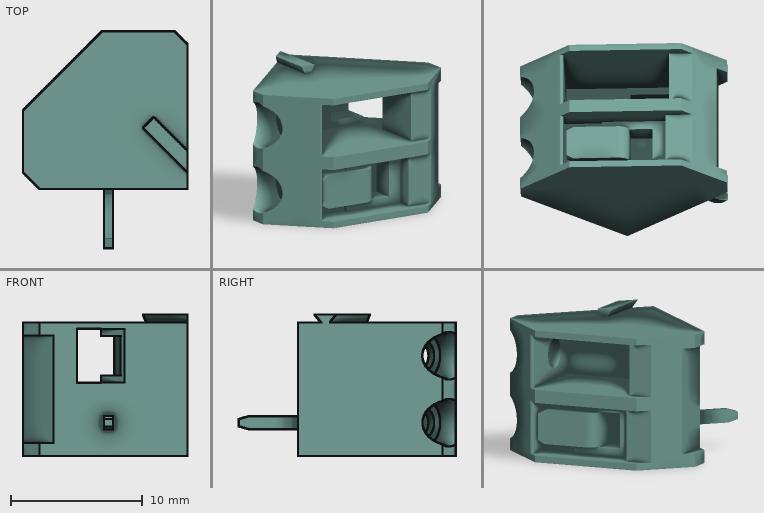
import cadquery as cq
import math

pitch = 5.08
pole_count = 2
body_x = 12.5
body_y = 12.0
body_z = pole_count * pitch
outside = 16.5

wire_chamfer = 6.0
screw_chamfer = 1.0
front_chamfer = 1.27
notch_chamfer = 2.31
notch_wall = 0.99

chamber_height = 4.08
shelf_rise = 3.4
chamber_near = 5.2
window_reach = 5.45
chamber_far = 13.22
floor_rise = -2.94
mouth_radius = 0.16

window_left = 4.12

recess_height = 2.97
recess_back = 8.38
recess_rise = -5.05

screw_hole_diameter = 2.3
screw_head_diameter = 3.6
screw_seat_thickness = 0.63

carrier_rise = 2.3
carrier_step_rise = 2.01
carrier_step_reach = 10.31
slot_near = 6.5
slot_far = 8.23
slot_depth = 1.75
slot_width = 2.77

leaf_thickness = 0.81
leaf_end_reach = 12.99
leaf_width = 2.6
leaf_tip_length = 0.53
leaf_tip_side = 0.28

pin_x = 6.5
pin_thickness = 0.7
pin_width = 1.0
pin_tip_width = 0.56
overall_y = 16.5
pin_length = overall_y - body_y
pin_tip_length = 0.78

rail_height = 0.6
rail_center_reach = 10.31
rail_top_width = 1.17
rail_base_width = 0.5
rail_end_rise = -3.15

wire_pole_z = pitch / 2
empty_pole_z = wire_pole_z + pitch


def diagonal_plane(z):
    """Horizontal plane whose local x is reach and local y is rise."""
    return cq.Workplane(cq.Plane(origin=(0, 0, z), xDir=(1, 1, 0), normal=(0, 0, 1)))


def diagonal_section(z):
    """Upright plane whose local x is reach and local y is height above z."""
    return cq.Workplane(cq.Plane(origin=(0, 0, z), xDir=(1, 1, 0), normal=(1, -1, 0)))


def diagonal_block(center_z, height, reach_range, rise_range):
    """Block aligned with the diagonal frame and centred in height on a pole."""
    start, end = reach_range
    low, high = rise_range
    base = diagonal_plane(center_z - height / 2)
    return base.moveTo(start, low).rect(end - start, high - low, centered=False).extrude(height)


def corner_prism(size, z_low, z_high):
    """Triangular prism that cuts the front-left corner at 45 degrees."""
    outline = cq.Workplane("XY").workplane(offset=z_low).polyline([(0, 0), (size, 0), (0, size)])
    return outline.close().extrude(z_high - z_low)


def housing():
    outline = [
        (front_chamfer, 0),
        (body_x, 0),
        (body_x, body_y - screw_chamfer),
        (body_x - screw_chamfer, body_y),
        (wire_chamfer, body_y),
        (0, body_y - wire_chamfer),
        (0, front_chamfer),
    ]
    block = cq.Workplane("XY").polyline(outline).close().extrude(body_z)
    return block.cut(corner_prism(notch_chamfer, notch_wall, body_z - notch_wall))


def chamber(center_z, near):
    """Wire chamber opening on the diagonal face, with a shelf at its near side."""
    main = diagonal_block(center_z, chamber_height, (near, chamber_far), (floor_rise, outside))
    shelf = diagonal_block(center_z, chamber_height, (0, chamber_far), (shelf_rise, outside))
    return main.union(shelf)


def screw_bore(center_z):
    """Stepped bore along the diagonal, from the chamber out through the screw chamfer."""
    rise = (body_y - body_x) / math.sqrt(2)
    side = 1 / math.sqrt(2)
    start = cq.Vector((chamber_far - rise) * side, (chamber_far + rise) * side, center_z)
    direction = cq.Vector(side, side, 0)
    hole = cq.Solid.makeCylinder(screw_hole_diameter / 2, outside, start, direction)
    seat = start + direction * screw_seat_thickness
    head = cq.Solid.makeCylinder(screw_head_diameter / 2, outside, seat, direction)
    return cq.Workplane(hole).union(cq.Workplane(head))


def front_window(center_z):
    """Triangular passage from the front face into the chamber, plus the recess behind it."""
    right = window_reach * math.sqrt(2)
    base = cq.Workplane("XY").workplane(offset=center_z - chamber_height / 2)
    corners = [(window_left, 0), (right, 0), (window_left, right - window_left)]
    passage = base.polyline(corners).close().extrude(chamber_height)
    recess = diagonal_block(center_z, recess_height, (window_reach, recess_back), (recess_rise, floor_rise))
    return passage.union(recess)


def round_mouths(body):
    """Round the chamber edges where the far wall meets the back face."""
    edge_x = chamber_far * math.sqrt(2) - body_y
    margin = mouth_radius / 2
    low_corner = (edge_x - margin, body_y - margin, 0)
    high_corner = (edge_x + margin, body_y + margin, body_z)
    edges = cq.selectors.BoxSelector(low_corner, high_corner)
    return body.edges(edges).edges("|Z").fillet(mouth_radius)


def contact_carrier(center_z):
    """Stepped carrier that fills the bottom of the wired chamber, with a slot for the leaf."""
    near_part = diagonal_block(
        center_z, chamber_height, (window_reach, carrier_step_reach), (floor_rise, carrier_rise)
    )
    far_part = diagonal_block(
        center_z, chamber_height, (carrier_step_reach, chamber_far), (floor_rise, carrier_step_rise)
    )
    slot = diagonal_block(
        center_z, slot_width, (slot_near, slot_far), (carrier_rise - slot_depth, carrier_rise)
    )
    return near_part.union(far_part).cut(slot)


def contact_leaf(center_z):
    """Contact leaf on the carrier: rounded down to the slot, with chamfered corners at its tip."""
    leaf = diagonal_block(
        center_z, leaf_width, (slot_far, leaf_end_reach), (carrier_rise, carrier_rise + leaf_thickness)
    )
    bend_reach = slot_far + leaf_thickness
    bend_plane = diagonal_plane(center_z - leaf_width / 2)
    bend = bend_plane.center(bend_reach, carrier_rise).circle(leaf_thickness).extrude(leaf_width)
    flat = diagonal_block(
        center_z, leaf_width, (bend_reach, leaf_end_reach), (carrier_rise, carrier_rise + leaf_thickness)
    )
    leaf = leaf.intersect(bend.union(flat))

    half_width = leaf_width / 2
    for side in (1, -1):
        corner = [
            (leaf_end_reach, side * half_width),
            (leaf_end_reach - leaf_tip_length, side * half_width),
            (leaf_end_reach, side * (half_width - leaf_tip_side)),
        ]
        cutter = diagonal_section(center_z).polyline(corner).close().extrude(outside, both=True)
        leaf = leaf.cut(cutter)
    return leaf


def pin(center_z):
    """Solder pin out of the front face, tapered in height at its tip."""
    tip_start = pin_tip_length - pin_length
    outline = [
        (0, pin_width / 2),
        (tip_start, pin_width / 2),
        (-pin_length, pin_tip_width / 2),
        (-pin_length, -pin_tip_width / 2),
        (tip_start, -pin_width / 2),
        (0, -pin_width / 2),
    ]
    plane = cq.Workplane("YZ", origin=(pin_x, 0, center_z))
    return plane.polyline(outline).close().extrude(pin_thickness / 2, both=True)


def dovetail_rail():
    """Diagonal dovetail on the top face, running out flush with the right side."""
    section = [
        (rail_center_reach - rail_base_width / 2, 0),
        (rail_center_reach + rail_base_width / 2, 0),
        (rail_center_reach + rail_top_width / 2, rail_height),
        (rail_center_reach - rail_top_width / 2, rail_height),
    ]
    start = diagonal_section(body_z).workplane(offset=-rail_end_rise)
    rail = start.polyline(section).close().extrude(outside)
    limit = cq.Workplane("XY").box(body_x, body_y, body_z + rail_height, centered=False)
    return rail.intersect(limit)


body = housing()
body = body.cut(chamber(wire_pole_z, window_reach)).cut(chamber(empty_pole_z, chamber_near))
body = round_mouths(body)
for pole_z in (wire_pole_z, empty_pole_z):
    body = body.cut(screw_bore(pole_z))
body = body.cut(front_window(empty_pole_z))
body = body.union(contact_carrier(wire_pole_z)).union(contact_leaf(wire_pole_z))

result = body.union(pin(wire_pole_z)).union(dovetail_rail())